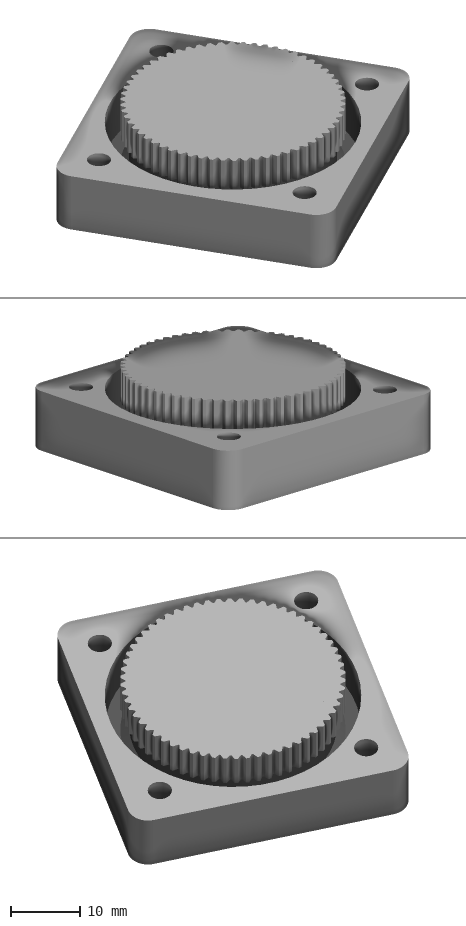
import cadquery as cq
import math

SIDE = 42.0
PLATE_HEIGHT = 9.05
CORNER_RADIUS = 3.0
HOLE_DIAMETER = 3.5
HOLE_SPACING = 31.0
RECESS_DIAMETER = 37.0
FLOOR_HEIGHT = 2.0
BOSS_DIAMETER = 27.65
TOTAL_HEIGHT = 12.5

TIP_DIAMETER = 32.5
NECK_DIAMETER = 30.05
FLANGE_HEIGHT = 1.0
TEETH_BOTTOM = 7.5
TOOTH_COUNT = 62
TOOTH_DEPTH = 0.7
GAP_MOUTH_WIDTH = 1.18
GAP_ROOT_WIDTH = 0.2

TIP_RADIUS = TIP_DIAMETER / 2
ROOT_RADIUS = TIP_RADIUS - TOOTH_DEPTH
TOOTH_PITCH_ANGLE = 2 * math.pi / TOOTH_COUNT


def cylinder(diameter, bottom, top):
    """Upright cylinder on the Z axis between two heights."""
    return cq.Workplane("XY", origin=(0, 0, bottom)).circle(diameter / 2).extrude(top - bottom)


def polar_point(radius, angle):
    """X and Y of a point at a radius and an angle in radians."""
    return (radius * math.cos(angle), radius * math.sin(angle))


def make_housing():
    """Square plate with corner holes and a round recess around a central boss."""
    plate = cq.Workplane("XY").box(SIDE, SIDE, PLATE_HEIGHT, centered=(True, True, False))
    plate = plate.edges("|Z").fillet(CORNER_RADIUS)
    mounting_holes = (
        cq.Workplane("XY")
        .rect(HOLE_SPACING, HOLE_SPACING, forConstruction=True)
        .vertices()
        .circle(HOLE_DIAMETER / 2)
        .extrude(PLATE_HEIGHT)
    )
    recess = cylinder(RECESS_DIAMETER, FLOOR_HEIGHT, PLATE_HEIGHT)
    boss = cylinder(BOSS_DIAMETER, 0, TOTAL_HEIGHT)
    return plate.cut(mounting_holes).cut(recess).union(boss)


def make_toothed_band():
    """Straight-sided teeth; the first gap between teeth is centred on +X."""
    mouth_half_angle = math.asin(GAP_MOUTH_WIDTH / 2 / TIP_RADIUS)
    root_half_angle = math.asin(GAP_ROOT_WIDTH / 2 / ROOT_RADIUS)
    outline = cq.Workplane("XY", origin=(0, 0, TEETH_BOTTOM))
    outline = outline.moveTo(*polar_point(TIP_RADIUS, -mouth_half_angle))
    for tooth in range(TOOTH_COUNT):
        gap = tooth * TOOTH_PITCH_ANGLE
        next_gap = gap + TOOTH_PITCH_ANGLE
        outline = outline.lineTo(*polar_point(ROOT_RADIUS, gap - root_half_angle))
        outline = outline.lineTo(*polar_point(ROOT_RADIUS, gap + root_half_angle))
        outline = outline.lineTo(*polar_point(TIP_RADIUS, gap + mouth_half_angle))
        tip_middle = polar_point(TIP_RADIUS, gap + TOOTH_PITCH_ANGLE / 2)
        tip_end = polar_point(TIP_RADIUS, next_gap - mouth_half_angle)
        outline = outline.threePointArc(tip_middle, tip_end)
    return outline.close().extrude(TOTAL_HEIGHT - TEETH_BOTTOM)


def make_flange():
    """Cone on the recess floor, narrowing from the tip diameter to the neck."""
    return (
        cq.Workplane("XY", origin=(0, 0, FLOOR_HEIGHT))
        .circle(TIP_RADIUS)
        .workplane(offset=FLANGE_HEIGHT)
        .circle(NECK_DIAMETER / 2)
        .loft(ruled=True)
    )


def make_gear_ring():
    """Ring around the boss: conical flange at the bottom, plain neck, teeth on top."""
    neck = cylinder(NECK_DIAMETER, FLOOR_HEIGHT, TEETH_BOTTOM)
    bore = cylinder(BOSS_DIAMETER, FLOOR_HEIGHT, TOTAL_HEIGHT)
    return make_toothed_band().union(neck).union(make_flange()).cut(bore)


housing = make_housing()
gear_ring = make_gear_ring()

result = cq.Compound.makeCompound([housing.solids().val(), gear_ring.solids().val()])